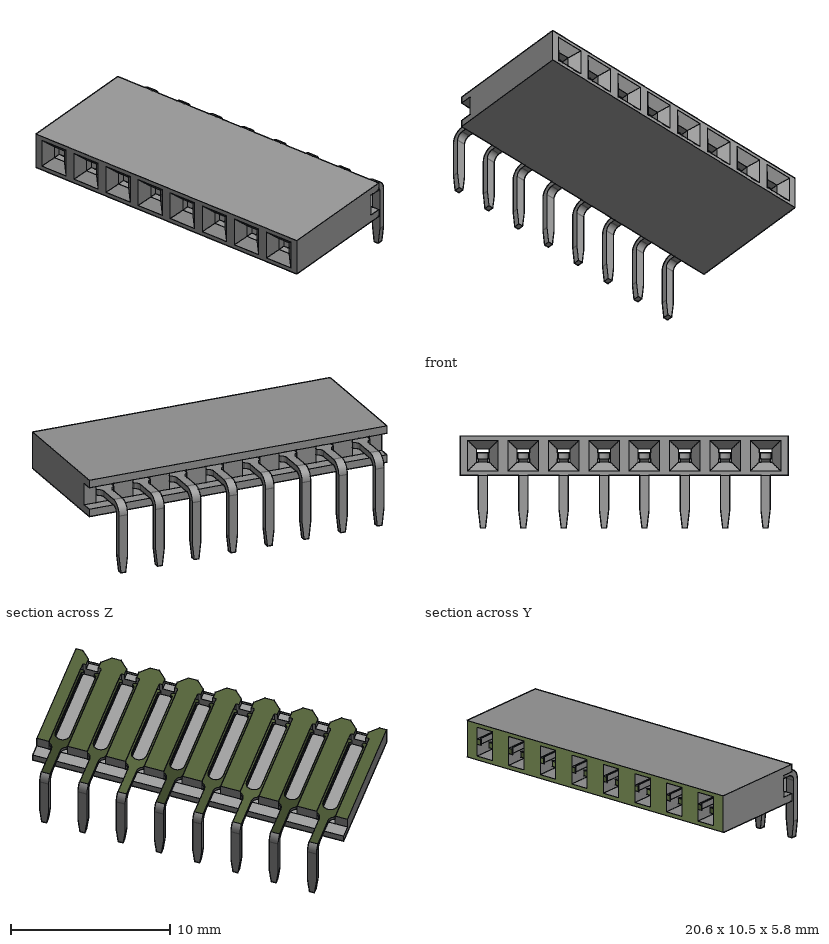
import cadquery as cq
import math

contact_count = 8
pitch = 2.54

housing_length = 20.62
housing_depth = 8.5
housing_height = 2.5
notch_depth = 0.78
notch_height = 1.46
notch_floor_y = housing_depth - notch_depth

mouth_size = 1.92
throat_width = 0.78
throat_height = 0.8
funnel_depth = (mouth_size - throat_width) / 2
throat_length = 0.5
cavity_height = mouth_size
cavity_start_y = funnel_depth + throat_length

strip_thickness = 0.4
stem_width = 0.6
tail_reach = 2.0
tail_drop = 3.3
bend_outer_radius = 0.82
bend_inner_radius = bend_outer_radius - strip_thickness
tip_width = 0.33
tip_length = 1.15

fork_width = 2 * stem_width
flare_reach = 0.5
flare_start_y = notch_floor_y + flare_reach
flare_radius = 0.41
shoulder_radius = 0.1
flare_angle = math.acos(1 - (fork_width - stem_width) / 2 / (flare_radius + shoulder_radius))

fork_front_clearance = 0.41
fork_front_y = cavity_start_y + fork_front_clearance
fork_slot_radius = 0.47
fork_base_thickness = 0.41
grip_gap = 0.65
grip_bump_radius = fork_slot_radius - grip_gap / 2

tail_back_y = housing_depth + tail_reach
tail_bottom_z = -housing_height / 2 - tail_drop
slot_start_y = notch_floor_y - fork_base_thickness - fork_slot_radius

contact_xs = [(i - (contact_count - 1) / 2) * pitch for i in range(contact_count)]


def make_socket_cutter(x):
    """Tapered mouth at the mating face, a short throat, then a wider cavity for the fork."""
    funnel = (
        cq.Workplane("XZ", origin=(x, 0, 0))
        .rect(mouth_size, mouth_size)
        .workplane(offset=-funnel_depth)
        .rect(throat_width, throat_height)
        .loft(ruled=True)
    )
    throat = cq.Workplane("XY", origin=(x, funnel_depth, 0)).box(
        throat_width, throat_length, throat_height, centered=(True, False, True)
    )
    cavity = cq.Workplane("XY", origin=(x, cavity_start_y, 0)).box(
        fork_width, notch_floor_y - cavity_start_y, cavity_height, centered=(True, False, True)
    )
    return funnel.union(throat).union(cavity)


def make_housing():
    """Block with a notch along its rear face and one socket per contact."""
    housing = cq.Workplane("XY").box(
        housing_length, housing_depth, housing_height, centered=(True, False, True)
    )
    rear_notch = cq.Workplane("XY", origin=(0, notch_floor_y, 0)).box(
        housing_length, notch_depth, notch_height, centered=(True, False, True)
    )
    housing = housing.cut(rear_notch)
    for x in contact_xs:
        housing = housing.cut(make_socket_cutter(x))
    return housing


def make_fork():
    """Two tines around a round-bottomed slot with rounded grip bumps at its entry."""
    half_fork = fork_width / 2
    half_stem = stem_width / 2
    grip_y = fork_front_y + grip_bump_radius
    bump_end_y = grip_y + grip_bump_radius
    half_angle = flare_angle / 2
    flare_mid_x = half_stem + flare_radius * (1 - math.cos(half_angle))
    flare_mid_y = flare_start_y - flare_radius * math.sin(half_angle)
    flare_end_x = half_stem + flare_radius * (1 - math.cos(flare_angle))
    flare_end_y = flare_start_y - flare_radius * math.sin(flare_angle)
    shoulder_end_y = flare_end_y - shoulder_radius * math.sin(flare_angle)
    shoulder_mid_x = half_fork - shoulder_radius * (1 - math.cos(half_angle))
    shoulder_mid_y = shoulder_end_y + shoulder_radius * math.sin(half_angle)
    return (
        cq.Workplane("XY", origin=(0, 0, -strip_thickness / 2))
        .moveTo(half_fork, fork_front_y)
        .lineTo(half_fork, shoulder_end_y)
        .threePointArc((shoulder_mid_x, shoulder_mid_y), (flare_end_x, flare_end_y))
        .threePointArc((flare_mid_x, flare_mid_y), (half_stem, flare_start_y))
        .lineTo(-half_stem, flare_start_y)
        .threePointArc((-flare_mid_x, flare_mid_y), (-flare_end_x, flare_end_y))
        .threePointArc((-shoulder_mid_x, shoulder_mid_y), (-half_fork, shoulder_end_y))
        .lineTo(-half_fork, fork_front_y)
        .lineTo(-fork_slot_radius, fork_front_y)
        .threePointArc((-grip_gap / 2, grip_y), (-fork_slot_radius, bump_end_y))
        .lineTo(-fork_slot_radius, slot_start_y)
        .threePointArc((0, slot_start_y + fork_slot_radius), (fork_slot_radius, slot_start_y))
        .lineTo(fork_slot_radius, bump_end_y)
        .threePointArc((grip_gap / 2, grip_y), (fork_slot_radius, fork_front_y))
        .close()
        .extrude(strip_thickness)
    )


def make_tail():
    """Stem that runs rearward, bends down and tapers to a narrow tip."""
    half_thickness = strip_thickness / 2
    bend_y = tail_back_y - bend_outer_radius
    bend_z = half_thickness - bend_outer_radius
    diagonal = math.sqrt(0.5)
    bent_strip = (
        cq.Workplane("YZ", origin=(-stem_width / 2, 0, 0))
        .moveTo(flare_start_y, half_thickness)
        .lineTo(bend_y, half_thickness)
        .threePointArc(
            (bend_y + bend_outer_radius * diagonal, bend_z + bend_outer_radius * diagonal),
            (tail_back_y, bend_z),
        )
        .lineTo(tail_back_y, tail_bottom_z)
        .lineTo(tail_back_y - strip_thickness, tail_bottom_z)
        .lineTo(tail_back_y - strip_thickness, bend_z)
        .threePointArc(
            (bend_y + bend_inner_radius * diagonal, bend_z + bend_inner_radius * diagonal),
            (bend_y, -half_thickness),
        )
        .lineTo(flare_start_y, -half_thickness)
        .close()
        .extrude(stem_width)
    )
    front_outline = (
        cq.Workplane("XZ", origin=(0, tail_back_y, 0))
        .moveTo(-stem_width / 2, half_thickness)
        .lineTo(-stem_width / 2, tail_bottom_z + tip_length)
        .lineTo(-tip_width / 2, tail_bottom_z)
        .lineTo(tip_width / 2, tail_bottom_z)
        .lineTo(stem_width / 2, tail_bottom_z + tip_length)
        .lineTo(stem_width / 2, half_thickness)
        .close()
        .extrude(tail_back_y - flare_start_y)
    )
    return bent_strip.intersect(front_outline)


def make_contact():
    """One complete contact, centred on X = 0."""
    return make_fork().union(make_tail())


housing = make_housing()
contact = make_contact()
contacts = [contact.translate((x, 0, 0)) for x in contact_xs]

result = cq.Compound.makeCompound([housing.val(), *[placed.val() for placed in contacts]])